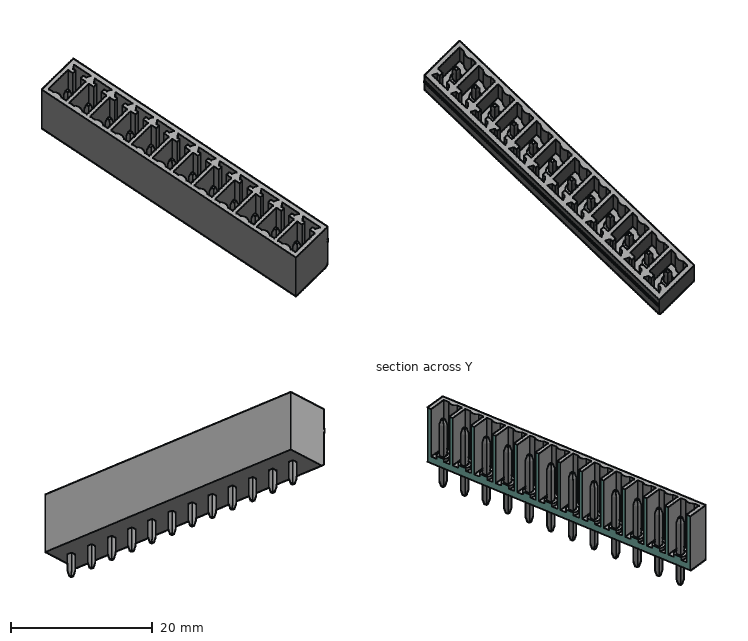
import cadquery as cq

poles = 12
length = 46.5
depth = 7.2
housing_height = 9.2
rib_depth = 0.15
body_depth = depth - rib_depth
bottom_edge_radius = 0.7

rib_top_drop = 3.05
rib_height = 0.6

floor_thickness = 1.2
cavity_depth = housing_height - floor_thickness
front_wall = 0.7
end_wall = 0.7
divider = 0.6
back_wall = 0.8
chamber_width = (length - 2 * end_wall - (poles - 1) * divider) / poles
pitch = chamber_width + divider
chamber_back = 5.0
neck_width = 1.4
neck_back = 5.65
dovetail_back = body_depth - back_wall
dovetail_front_width = 2.4
dovetail_back_width = 3.1

key_width = 1.5
key_rise = 0.3

pin_width = 0.8
pin_tip_width = 0.4
pin_taper = 0.85
pin_y = 2.98
pin_tail = 3.5
pin_top_drop = 1.45
collar_diameter = 1.85
collar_height = 0.45

pin_xs = [(i - (poles - 1) / 2) * pitch for i in range(poles)]


def make_housing():
    """Plain block with a rounded lower back edge and a rib on the back wall."""
    block = cq.Workplane("XY").box(length, body_depth, housing_height, centered=(True, False, False))
    block = block.edges(">Y and <Z").fillet(bottom_edge_radius)
    rib = (
        cq.Workplane("XY")
        .box(length, back_wall + rib_depth, rib_height, centered=(True, False, False))
        .translate((0, dovetail_back, housing_height - rib_top_drop - rib_height))
    )
    return block.union(rib)


def make_cavity(x):
    """Plug cavity of one pole, symmetric about the pin at x."""
    right_side = [
        (key_width / 2, front_wall),
        (chamber_width / 2, front_wall),
        (chamber_width / 2, chamber_back),
        (neck_width / 2, chamber_back),
        (neck_width / 2, neck_back),
        (dovetail_front_width / 2, neck_back),
        (dovetail_back_width / 2, dovetail_back),
    ]
    left_side = [(-across, y) for across, y in reversed(right_side)]
    return (
        cq.Workplane("XY", origin=(x, 0, floor_thickness))
        .polyline(right_side + left_side)
        .threePointArc((0, front_wall + key_rise), right_side[0])
        .close()
        .extrude(cavity_depth)
    )


def make_pin(x):
    """Square pin through the floor, tapered at both ends, with its collar."""
    shaft_bottom = pin_taper - pin_tail
    shaft_top = housing_height - pin_top_drop - pin_taper
    shaft = (
        cq.Workplane("XY", origin=(x, pin_y, shaft_bottom))
        .rect(pin_width, pin_width)
        .extrude(shaft_top - shaft_bottom)
    )
    for shaft_end, direction in ((shaft_bottom, -1), (shaft_top, 1)):
        tip = (
            cq.Workplane("XY", origin=(x, pin_y, shaft_end))
            .rect(pin_width, pin_width)
            .workplane(offset=direction * pin_taper)
            .rect(pin_tip_width, pin_tip_width)
            .loft(ruled=True)
        )
        shaft = shaft.union(tip)
    collar = (
        cq.Workplane("XY", origin=(x, pin_y, floor_thickness))
        .circle(collar_diameter / 2)
        .extrude(collar_height)
    )
    return shaft.union(collar)


result = make_housing()
for pin_x in pin_xs:
    result = result.cut(make_cavity(pin_x)).union(make_pin(pin_x))